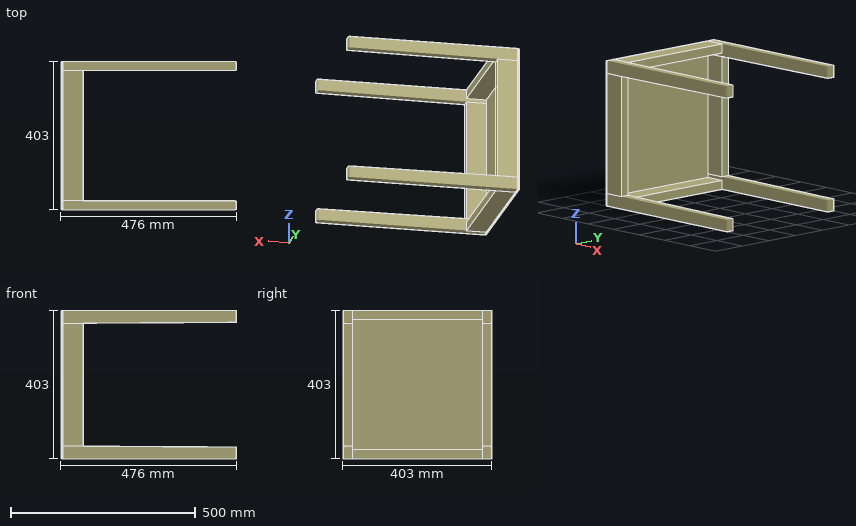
import cadquery as cq

length = 476.0
seat_side = 403.0
seat_thickness = 6.0

bevel_length = 4.0
bevel_inset = bevel_length / 2

leg_width = 25.0
leg_depth_top = 35.0
leg_depth_foot = 33.0
leg_edge_radius = 0.5

rail_height = 55.0
rail_thickness = leg_width

half_side = seat_side / 2
rail_end = seat_thickness + rail_height


def make_seat():
    """Square board with its outer face bevelled."""
    board = cq.Workplane("YZ").rect(seat_side, seat_side).extrude(seat_thickness)
    return board.faces("<X").chamfer(bevel_length, bevel_inset)


def make_leg():
    """Leg of the +Y +Z corner; beyond the rails its inner Z face slopes, and the foot is bevelled."""
    profile = [
        (seat_thickness, half_side),
        (length, half_side),
        (length, half_side - leg_depth_foot),
        (rail_end, half_side - leg_depth_top),
        (seat_thickness, half_side - leg_depth_top),
    ]
    leg = (
        cq.Workplane("XZ", origin=(0, half_side, 0))
        .polyline(profile)
        .close()
        .extrude(leg_width)
    )
    bevelled = leg.faces(">X").edges("|Z").chamfer(bevel_inset, bevel_length)
    return bevelled.edges("not <X").fillet(leg_edge_radius)


def make_legs():
    """Four legs, mirrored into the corners of the seat."""
    upper_left = make_leg()
    upper_right = upper_left.mirror("XZ")
    legs = []
    for leg in (upper_left, upper_right):
        legs.append(leg)
        legs.append(leg.mirror("XY"))
    return legs


def rail_between_legs(span_y, span_z, centre_y, centre_z):
    """Straight rail standing on the inner face of the seat."""
    return (
        cq.Workplane("YZ", origin=(seat_thickness, centre_y, centre_z))
        .rect(span_y, span_z)
        .extrude(rail_height)
    )


def make_rails():
    """Four rails filling the gaps between neighbouring legs, flush with their outer faces."""
    gap_y = seat_side - 2 * leg_width
    gap_z = seat_side - 2 * leg_depth_top
    offset = half_side - rail_thickness / 2
    rails = []
    for side in (-1, 1):
        rails.append(rail_between_legs(rail_thickness, gap_z, side * offset, 0))
        rails.append(rail_between_legs(gap_y, rail_thickness, 0, side * offset))
    return rails


seat = make_seat()
legs = make_legs()
rails = make_rails()

bodies = [seat, *legs, *rails]
result = cq.Compound.makeCompound([body.val() for body in bodies])